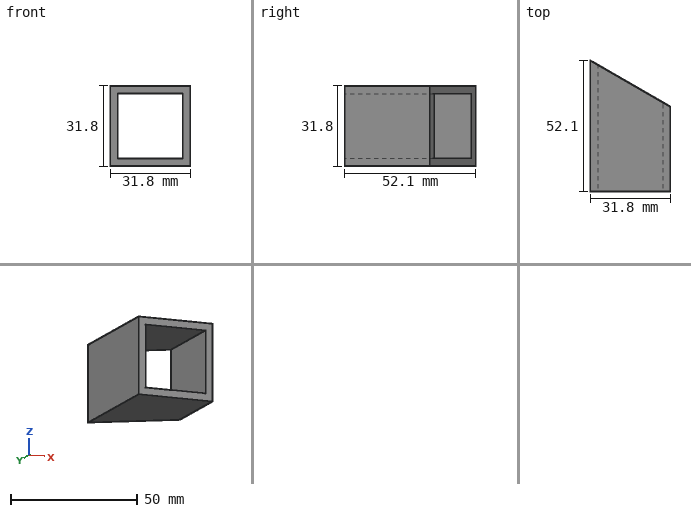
import cadquery as cq
import math

tube_side = 31.75
wall = 3.048
long_side_length = 52.07
miter_angle = 30.0

bore_side = tube_side - 2 * wall
miter_drop = tube_side * math.tan(math.radians(miter_angle))
short_side_length = long_side_length - miter_drop
half_side = tube_side / 2


def mitred_block():
    """Solid bar in plan outline, long on the -X side and short on the +X side."""
    return (
        cq.Workplane("XY")
        .workplane(offset=-half_side)
        .moveTo(-half_side, 0)
        .lineTo(half_side, 0)
        .lineTo(half_side, short_side_length)
        .lineTo(-half_side, long_side_length)
        .close()
        .extrude(tube_side)
    )


def square_bore():
    """Square passage running the full length of the tube."""
    return cq.Workplane("XZ").rect(bore_side, bore_side).extrude(-long_side_length)


result = mitred_block().cut(square_bore())